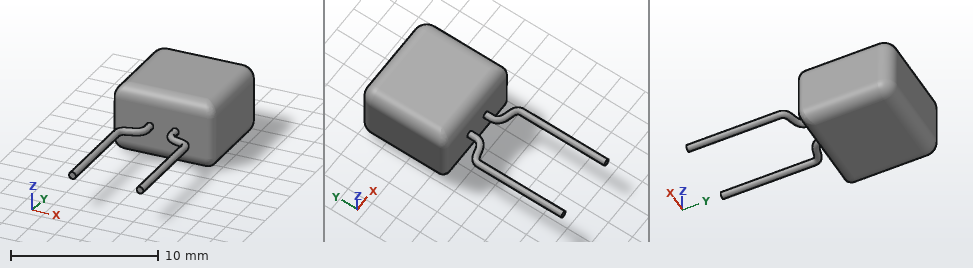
import cadquery as cq

WIDTH = 7.62
DEPTH = 7.21
HEIGHT = 5.08
EDGE_RADIUS = 1.0
FRONT_CORNER_RADIUS = EDGE_RADIUS / 2

TOTAL_LENGTH = 16.14
WIRE_DIAMETER = 0.52
INNER_PITCH = 1.9
OUTER_PITCH = 5.08
STUB_LENGTH = 0.47
BEND_LENGTH = 1.47
BEND_MIDDLE_DROP = 0.82


def make_housing():
    """Box rounded on every edge, with a smaller radius on the two upright front edges."""
    box = cq.Workplane("XY").box(WIDTH, DEPTH, HEIGHT).translate((0, DEPTH / 2, 0))
    rounded = box.edges("not(|Z and <Y)").fillet(EDGE_RADIUS)
    return rounded.edges("|Z and <Y").fillet(FRONT_CORNER_RADIUS)


def make_lead(side):
    """Bent wire from the housing front face; side is -1 for the -X lead and +1 for the +X lead."""
    inner_x = side * INNER_PITCH / 2
    outer_x = side * OUTER_PITCH / 2
    bend_start_y = -STUB_LENGTH
    path = (
        cq.Workplane("XY")
        .moveTo(inner_x, 0)
        .lineTo(inner_x, bend_start_y)
        .spline(
            [
                ((inner_x + outer_x) / 2, bend_start_y - BEND_MIDDLE_DROP),
                (outer_x, bend_start_y - BEND_LENGTH),
            ],
            tangents=[(0, -1), (0, -1)],
            includeCurrent=True,
        )
        .lineTo(outer_x, DEPTH - TOTAL_LENGTH)
    )
    return (
        cq.Workplane("XZ", origin=(inner_x, 0, 0))
        .circle(WIRE_DIAMETER / 2)
        .sweep(path)
    )


housing = make_housing()
leads = [make_lead(side) for side in (-1, 1)]

result = cq.Compound.makeCompound([housing.val(), *[lead.val() for lead in leads]])